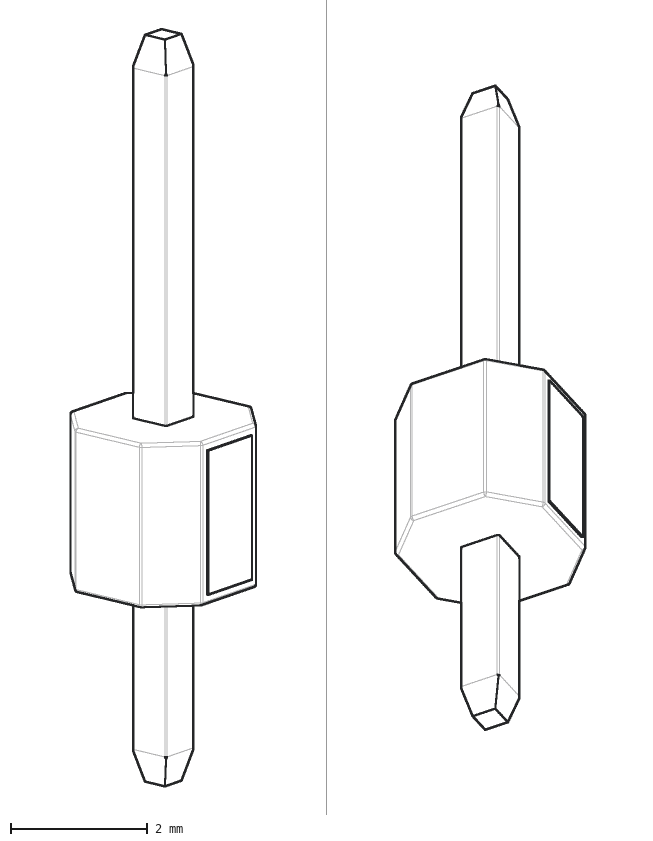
import cadquery as cq

pitch = 2.54
pad_thickness = 0.02
body_length = pitch - 2 * pad_thickness
body_width = pitch
body_height = 2.5
flat_width = 1.24
edge_radius = 0.05

pad_width = 1.0
pad_height = 2.2

pin_side = 0.64
pin_tip_side = 0.38
pin_edge_radius = 0.025
pin_taper_length = 0.5
pin_total_length = 11.39
pin_below_body = 3.05


def make_body():
    """Octagonal block with every edge rounded."""
    half_length = body_length / 2
    half_width = body_width / 2
    half_flat = flat_width / 2
    outline = [
        (half_length, -half_flat),
        (half_length, half_flat),
        (half_flat, half_width),
        (-half_flat, half_width),
        (-half_length, half_flat),
        (-half_length, -half_flat),
        (-half_flat, -half_width),
        (half_flat, -half_width),
    ]
    octagon = cq.Workplane("XY").polyline(outline).close().extrude(body_height)
    return octagon.edges().fillet(edge_radius)


def make_pads():
    """One bar through the body whose ends stand proud as the two pads."""
    bar = cq.Workplane("XY").box(pitch, pad_width, pad_height)
    return bar.translate((0, 0, body_height / 2))


def make_taper(base_z, tip_z):
    """Square frustum from the full pin section to the pin tip."""
    base = cq.Workplane("XY").workplane(offset=base_z).rect(pin_side, pin_side)
    return base.workplane(offset=tip_z - base_z).rect(pin_tip_side, pin_tip_side).loft()


def make_pin():
    """Square shank with rounded long edges and a taper at each end."""
    bottom_z = -pin_below_body
    top_z = bottom_z + pin_total_length
    shank_bottom_z = bottom_z + pin_taper_length
    shank_top_z = top_z - pin_taper_length
    shank = (
        cq.Workplane("XY")
        .workplane(offset=shank_bottom_z)
        .rect(pin_side, pin_side)
        .extrude(shank_top_z - shank_bottom_z)
    )
    lower_taper = make_taper(shank_bottom_z, bottom_z)
    upper_taper = make_taper(shank_top_z, top_z)
    sharp_pin = shank.union(lower_taper).union(upper_taper)
    return sharp_pin.edges("|Z").fillet(pin_edge_radius)


result = make_body().union(make_pads()).union(make_pin())